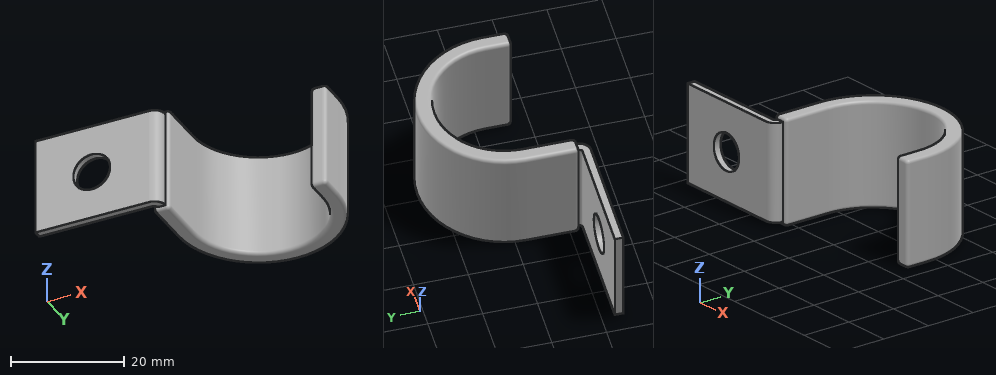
import cadquery as cq

total_length = 53.9
strip_thickness = 1.55
strip_width = 19.0
cover_thickness = 0.8
cover_round = 0.75
cover_width = 20.65
loop_radius = 15.85
free_leg = 4.75
tab_leg = 9.65
tab_face_y = -11.85
bend_inner_radius = 0.55
hole_diameter = 7.2
hole_from_end = 11.1

inner_radius = loop_radius - strip_thickness - 2 * cover_thickness
bend_outer_radius = bend_inner_radius + strip_thickness
strip_outer_x = -loop_radius + cover_thickness
strip_inner_x = strip_outer_x + strip_thickness
bend_x = strip_outer_x - bend_inner_radius
bend_y = tab_face_y + bend_outer_radius
tab_back_y = tab_face_y + strip_thickness
tab_end_x = loop_radius - total_length
embed = cover_round


def covered_loop():
    """Half-round loop with two straight legs and every outer edge rounded."""
    profile = (
        cq.Workplane("XY")
        .moveTo(-loop_radius, -tab_leg)
        .lineTo(-loop_radius, 0)
        .threePointArc((0, loop_radius), (loop_radius, 0))
        .lineTo(loop_radius, -free_leg)
        .lineTo(inner_radius, -free_leg)
        .lineTo(inner_radius, 0)
        .threePointArc((0, inner_radius), (-inner_radius, 0))
        .lineTo(-inner_radius, -tab_leg)
        .close()
    )
    body = profile.extrude(cover_width / 2, both=True)
    leg_ends = cq.selectors.BoxSelector(
        (-total_length, -total_length, -cover_width),
        (total_length, -free_leg / 2, cover_width),
    )
    body = body.edges("|Z").edges(leg_ends).fillet(cover_round)
    return body.faces("<Z or >Z").edges().fillet(cover_round)


def mounting_tab():
    """Bare strip leaving the cover and bent outward into a flat tab."""
    diagonal = 0.5 ** 0.5
    strip = (
        cq.Workplane("XY")
        .moveTo(tab_end_x, tab_face_y)
        .lineTo(bend_x, tab_face_y)
        .threePointArc(
            (bend_x + bend_outer_radius * diagonal, bend_y - bend_outer_radius * diagonal),
            (strip_inner_x, bend_y),
        )
        .lineTo(strip_inner_x, -tab_leg + embed)
        .lineTo(strip_outer_x, -tab_leg + embed)
        .lineTo(strip_outer_x, bend_y)
        .threePointArc(
            (bend_x + bend_inner_radius * diagonal, bend_y - bend_inner_radius * diagonal),
            (bend_x, tab_back_y),
        )
        .lineTo(tab_end_x, tab_back_y)
        .close()
        .extrude(strip_width / 2, both=True)
    )
    hole = (
        cq.Workplane("XZ", origin=(tab_end_x + hole_from_end, tab_back_y, 0))
        .circle(hole_diameter / 2)
        .extrude(strip_thickness)
    )
    return strip.cut(hole)


result = covered_loop().union(mounting_tab())